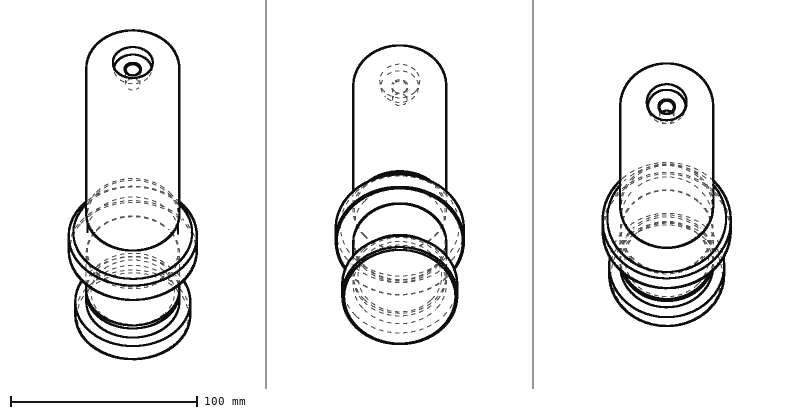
import cadquery as cq
import math

TOTAL_HEIGHT = 215.0

CAP_RADIUS = 31.0
CAP_HEAD_HEIGHT = 12.3
CAP_SPIGOT_HEIGHT = 7.7
CAP_CHAMFER = 1.0

POST_DIAMETER = 50.0
POST_RADIUS = POST_DIAMETER / 2
POST_FOOT_CHAMFER = 2.5
POST_TOP_FILLET = 5.0
NECK_DIAMETER = 48.8
NECK_RADIUS = NECK_DIAMETER / 2
NECK_ROOT_FILLET = 0.9
NECK_TOP = 85.4
NECK_STEP = POST_RADIUS - NECK_RADIUS

FLANGE_DIAMETER = 69.0
FLANGE_RADIUS = FLANGE_DIAMETER / 2
FLANGE_BOTTOM = 55.0
FLANGE_HEIGHT = 15.5
FLANGE_TOP_CHAMFER = 2.5
FLANGE_BOTTOM_CHAMFER = 0.6
RELIEF_HEIGHT = 1.3

RECESS_MOUTH_RADIUS = 10.8
RECESS_RADIUS = 10.0
RECESS_TAPER_DEPTH = 2.5
RECESS_DEPTH = 5.5
CENTRE_HOLE_RADIUS = 3.9
CENTRE_HOLE_CHAMFER = 0.54
CENTRE_HOLE_DEPTH = 13.0
DRILL_POINT_ANGLE = 118.0

POST_BOTTOM = CAP_HEAD_HEIGHT + CAP_SPIGOT_HEIGHT
FLANGE_TOP = FLANGE_BOTTOM + FLANGE_HEIGHT


def turned(profile):
    """Revolve a closed (radius, height) profile about the Z axis."""
    return profile.close().revolve(360, (0, 0, 0), (0, 1, 0))


def make_cap():
    """Chamfered disc with a spigot that meets the foot of the post."""
    profile = (
        cq.Workplane("XZ")
        .lineTo(CAP_RADIUS - CAP_CHAMFER, 0)
        .lineTo(CAP_RADIUS, CAP_CHAMFER)
        .lineTo(CAP_RADIUS, CAP_HEAD_HEIGHT)
        .lineTo(POST_RADIUS, CAP_HEAD_HEIGHT)
        .lineTo(POST_RADIUS, POST_BOTTOM)
        .lineTo(0, POST_BOTTOM)
    )
    return turned(profile)


def make_post_blank():
    """Outer turned shape of the post, from foot to rounded top."""
    fillet_start = TOTAL_HEIGHT - POST_TOP_FILLET
    fillet_centre_radius = POST_RADIUS - POST_TOP_FILLET
    fillet_offset = POST_TOP_FILLET * math.sqrt(0.5)
    fillet_middle = (fillet_centre_radius + fillet_offset, fillet_start + fillet_offset)
    root_offset = NECK_ROOT_FILLET * (1 - math.sqrt(0.5))
    root_middle = (NECK_RADIUS + root_offset, FLANGE_TOP + root_offset)
    relief_bottom = FLANGE_BOTTOM - RELIEF_HEIGHT
    profile = (
        cq.Workplane("XZ")
        .moveTo(0, POST_BOTTOM)
        .lineTo(POST_RADIUS - POST_FOOT_CHAMFER, POST_BOTTOM)
        .lineTo(POST_RADIUS, POST_BOTTOM + POST_FOOT_CHAMFER)
        .lineTo(POST_RADIUS, relief_bottom)
        .lineTo(NECK_RADIUS, relief_bottom + NECK_STEP)
        .lineTo(NECK_RADIUS, FLANGE_BOTTOM)
        .lineTo(FLANGE_RADIUS - FLANGE_BOTTOM_CHAMFER, FLANGE_BOTTOM)
        .lineTo(FLANGE_RADIUS, FLANGE_BOTTOM + FLANGE_BOTTOM_CHAMFER)
        .lineTo(FLANGE_RADIUS, FLANGE_TOP - FLANGE_TOP_CHAMFER)
        .lineTo(FLANGE_RADIUS - FLANGE_TOP_CHAMFER, FLANGE_TOP)
        .lineTo(NECK_RADIUS + NECK_ROOT_FILLET, FLANGE_TOP)
        .threePointArc(root_middle, (NECK_RADIUS, FLANGE_TOP + NECK_ROOT_FILLET))
        .lineTo(NECK_RADIUS, NECK_TOP)
        .lineTo(POST_RADIUS, NECK_TOP + NECK_STEP)
        .lineTo(POST_RADIUS, fillet_start)
        .threePointArc(fillet_middle, (fillet_centre_radius, TOTAL_HEIGHT))
        .lineTo(0, TOTAL_HEIGHT)
    )
    return turned(profile)


def make_centre_hole():
    """Cutter for the tapered recess and the drilled hole below it."""
    recess_floor = TOTAL_HEIGHT - RECESS_DEPTH
    hole_bottom = recess_floor - CENTRE_HOLE_DEPTH
    point_depth = CENTRE_HOLE_RADIUS / math.tan(math.radians(DRILL_POINT_ANGLE / 2))
    profile = (
        cq.Workplane("XZ")
        .moveTo(0, TOTAL_HEIGHT)
        .lineTo(RECESS_MOUTH_RADIUS, TOTAL_HEIGHT)
        .lineTo(RECESS_RADIUS, TOTAL_HEIGHT - RECESS_TAPER_DEPTH)
        .lineTo(RECESS_RADIUS, recess_floor)
        .lineTo(CENTRE_HOLE_RADIUS + CENTRE_HOLE_CHAMFER, recess_floor)
        .lineTo(CENTRE_HOLE_RADIUS, recess_floor - CENTRE_HOLE_CHAMFER)
        .lineTo(CENTRE_HOLE_RADIUS, hole_bottom)
        .lineTo(0, hole_bottom - point_depth)
    )
    return turned(profile)


cap = make_cap()
post = make_post_blank().cut(make_centre_hole())

result = cq.Compound.makeCompound([cap.val(), post.val()])